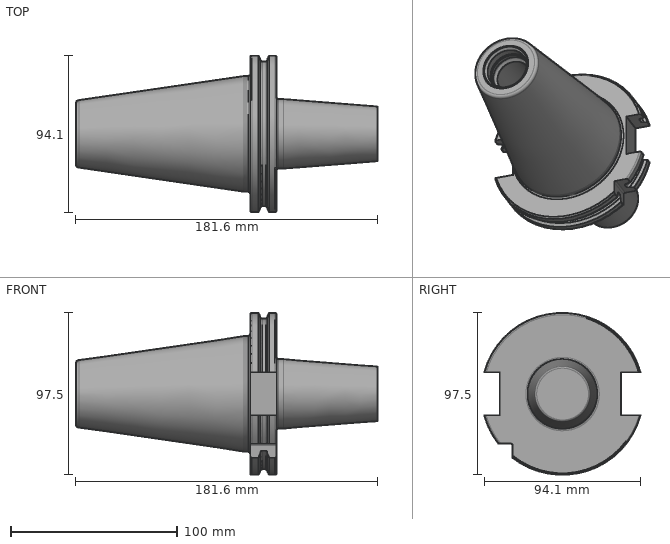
import cadquery as cq
import math

gauge_x = 101.6
flange_start_x = gauge_x + 3.2
flange_end_x = gauge_x + 19.1
total_length = gauge_x + 80.0

gauge_diameter = 69.85
gauge_radius = gauge_diameter / 2
taper_slope = 7 / 48
small_end_radius = gauge_radius - gauge_x * taper_slope
small_end_round = 2.0
gauge_blend_radius = 7.5

flange_diameter = 97.5
flange_radius = flange_diameter / 2
flange_edge_round = 1.0
flange_root_round = 1.1

groove_center_x = flange_start_x + 8.2
groove_width = 6.5
groove_floor_width = 4.3
groove_flank_half_angle = 30.0
groove_depth = 3.25
groove_floor_radius = flange_radius - groove_depth
groove_floor_round = 1.1

slot_width = 25.7
left_slot_floor_y = 35.3
right_slot_floor_y = -37.7
notch_y = -30.0
notch_z = -30.0
notch_round = 1.0

nose_radius = 21.0
nose_cylinder_length = 3.9
nose_taper_angle = 4.5
nose_tip_round = 1.0

mouth_radius = 14.5
mouth_chamfer_depth = 0.3
countersink_radius = 13.9
pilot_radius = 12.5
pilot_start_depth = 2.0
pilot_depth = 7.0
thread_radius = 12.0
thread_start_depth = 7.8
thread_depth = 10.4
thread_runout_radius = 11.7
thread_runout_depth = 10.8
drill_radius = 10.25
drill_start_depth = 12.8
drill_depth = 60.0
drill_point_half_angle = 59.0


def revolve_about_x(points):
    """Revolve a closed outline of (x, radius) points about the part's axis."""
    return cq.Workplane("XY").polyline(points).close().revolve(360, (0, 0, 0), (1, 0, 0))


def make_taper():
    taper = revolve_about_x(
        [
            (0, 0),
            (0, small_end_radius),
            (gauge_x, gauge_radius),
            (flange_start_x, gauge_radius),
            (flange_start_x, 0),
        ]
    )
    taper = taper.faces("<X").edges().fillet(small_end_round)
    gauge_edge = cq.selectors.NearestToPointSelector((gauge_x, 0, 0))
    return taper.edges("not |X").edges(gauge_edge).fillet(gauge_blend_radius)


def make_groove():
    flank_run = (groove_width - groove_floor_width) / 2
    flank_bottom = flange_radius - flank_run / math.tan(math.radians(groove_flank_half_angle))
    left_wall_x = groove_center_x - groove_floor_width / 2
    right_wall_x = groove_center_x + groove_floor_width / 2
    ring = revolve_about_x(
        [
            (groove_center_x - groove_width / 2, flange_radius),
            (left_wall_x, flank_bottom),
            (left_wall_x, groove_floor_radius),
            (right_wall_x, groove_floor_radius),
            (right_wall_x, flank_bottom),
            (groove_center_x + groove_width / 2, flange_radius),
        ]
    )
    return ring.edges(cq.selectors.RadiusNthSelector(0)).fillet(groove_floor_round)


def make_flange():
    flange = (
        cq.Workplane("YZ", origin=(flange_start_x, 0, 0))
        .circle(flange_radius)
        .extrude(flange_end_x - flange_start_x)
        .edges()
        .fillet(flange_edge_round)
    )
    return flange.cut(make_groove())


def make_nose():
    taper_start_x = flange_end_x + nose_cylinder_length
    taper_length = total_length - taper_start_x
    tip_radius = nose_radius - taper_length * math.tan(math.radians(nose_taper_angle))
    nose = revolve_about_x(
        [
            (flange_end_x, 0),
            (flange_end_x, nose_radius),
            (taper_start_x, nose_radius),
            (total_length, tip_radius),
            (total_length, 0),
        ]
    )
    return nose.faces(">X").edges().fillet(nose_tip_round)


def make_root_round(face_x, radius, direction):
    """Ring filling the corner between a flange face and the round body of the given radius.

    The direction is +1 when the body leaves the face toward +X and -1 toward -X.
    """
    tangent_x = face_x + direction * flange_root_round
    arc_radius_toward_corner = flange_root_round * math.sqrt(0.5)
    arc_middle = (
        tangent_x - direction * arc_radius_toward_corner,
        radius + flange_root_round - arc_radius_toward_corner,
    )
    outline = (
        cq.Workplane("XY")
        .moveTo(face_x, 0)
        .lineTo(face_x, radius + flange_root_round)
        .threePointArc(arc_middle, (tangent_x, radius))
        .lineTo(tangent_x, 0)
        .close()
    )
    return outline.revolve(360, (0, 0, 0), (1, 0, 0))


def make_bore():
    point_depth = drill_depth + drill_radius / math.tan(math.radians(drill_point_half_angle))
    return revolve_about_x(
        [
            (0, 0),
            (0, mouth_radius),
            (mouth_chamfer_depth, countersink_radius),
            (pilot_start_depth, pilot_radius),
            (pilot_depth, pilot_radius),
            (thread_start_depth, thread_radius),
            (thread_depth, thread_radius),
            (thread_runout_depth, thread_runout_radius),
            (drill_start_depth, drill_radius),
            (drill_depth, drill_radius),
            (point_depth, 0),
        ]
    )


def flange_cutter(y_from, y_to, z_from, z_to):
    """Block through the flange and its root round on the taper side, within Y and Z limits."""
    start_x = flange_start_x - flange_root_round
    block = cq.Workplane("XY", origin=(start_x, y_from, z_from))
    return block.box(flange_end_x - start_x, y_to - y_from, z_to - z_from, centered=False)


def make_flange_cuts():
    left_slot = flange_cutter(left_slot_floor_y, flange_radius, -slot_width / 2, slot_width / 2)
    right_slot = flange_cutter(-flange_radius, right_slot_floor_y, -slot_width / 2, slot_width / 2)
    notch = flange_cutter(-flange_radius, notch_y, -flange_radius, notch_z)
    notch = notch.edges("|X and >Y and >Z").fillet(notch_round)
    return left_slot.union(right_slot).union(notch)


body = make_taper().union(make_flange()).union(make_nose())
body = body.union(make_root_round(flange_start_x, gauge_radius, -1))
body = body.union(make_root_round(flange_end_x, nose_radius, 1))
result = body.cut(make_flange_cuts()).cut(make_bore())